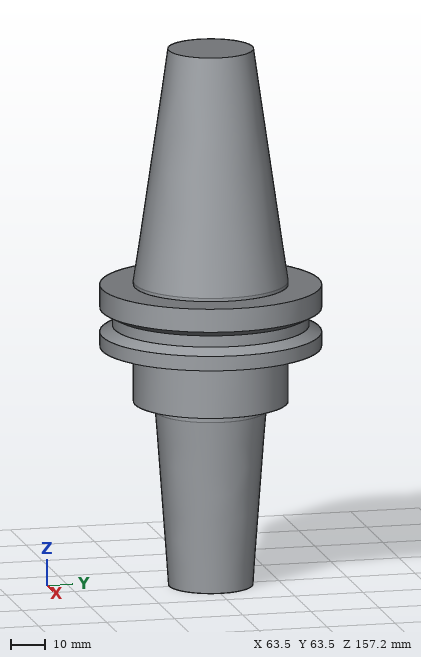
import cadquery as cq

total_height = 157.2
nose_cone_height = 51.0
nose_height = 53.7
hub_top = 70.0
flange_top = 88.0
collar_height = 1.0

nose_tip_diameter = 24.2
nose_diameter = 31.7
hub_diameter = 44.3
flange_diameter = 63.5
groove_diameter = 56.3
shank_diameter = 44.3
shank_end_diameter = 24.5

lower_rim_height = 4.2
upper_rim_height = 6.8
groove_wall_height = 1.9


def cylinder(diameter, bottom, top):
    """Cylinder about the Z axis between two heights."""
    return cq.Workplane("XY").workplane(offset=bottom).circle(diameter / 2).extrude(top - bottom)


def cone(bottom_diameter, top_diameter, bottom, top):
    """Tapered round section about the Z axis between two heights."""
    return (
        cq.Workplane("XY")
        .workplane(offset=bottom)
        .circle(bottom_diameter / 2)
        .workplane(offset=top - bottom)
        .circle(top_diameter / 2)
        .loft(ruled=True)
    )


def grooved_flange():
    """Gripper flange with a flat-bottomed V-groove in its rim."""
    rim_radius = flange_diameter / 2
    floor_radius = groove_diameter / 2
    groove_bottom = hub_top + lower_rim_height
    groove_top = flange_top - upper_rim_height
    profile = [
        (0, hub_top),
        (rim_radius, hub_top),
        (rim_radius, groove_bottom),
        (floor_radius, groove_bottom + groove_wall_height),
        (floor_radius, groove_top - groove_wall_height),
        (rim_radius, groove_top),
        (rim_radius, flange_top),
        (0, flange_top),
    ]
    return cq.Workplane("XZ").polyline(profile).close().revolve(360, (0, 0, 0), (0, 1, 0))


nose = cone(nose_tip_diameter, nose_diameter, 0, nose_cone_height)
neck = cylinder(nose_diameter, nose_cone_height, nose_height)
hub = cylinder(hub_diameter, nose_height, hub_top)

collar_top = flange_top + collar_height
collar = cylinder(shank_diameter, flange_top, collar_top)
shank = cone(shank_diameter, shank_end_diameter, collar_top, total_height)

result = nose.union(neck).union(hub).union(grooved_flange()).union(collar).union(shank)

result = result.translate((0, 0, -total_height / 2))